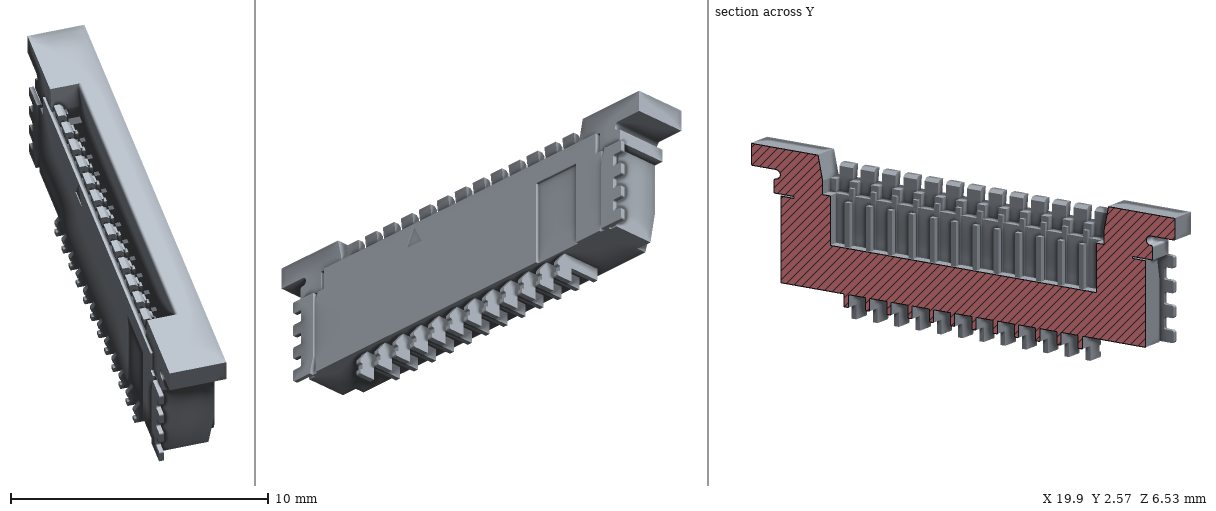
import cadquery as cq

flange_width = 19.92
height = 6.53
depth = 2.57
pin_count = 12
block_row = 12.0
pitch = block_row / pin_count

flange_bottom = 5.64
cover_top = 5.52
slider_bottom = 4.68
wing_top = 4.62
body_bottom = 1.12

cover_front = 0.08
slider_front = 0.18
slider_back = 2.47

slider_half = 8.9
neck_radius = 0.18
neck_half = 8.78
lip_radius = 0.11

shell_half = 7.97
core_half = 8.25
shoulder_left = 7.49
shoulder_right = 7.63
shoulder_recess_half = 7.77
shoulder_recess_depth = 0.4
rear_shoulder_bottom = 3.49
corner_run = 0.12
corner_rise = 0.35

side_half = 8.57
side_front = 0.32
side_back = 2.4
side_top_bevel_run = 0.18
side_top_bevel_rise = 0.95
side_bottom_bevel_run = 0.24
side_bottom_bevel_rise = 1.37

wing_outer = 9.15
wing_thickness = 0.18
wing_inner = 8.03
wing_flare = 0.18
wing_flare_height = 0.7
tooth_count = 4
tooth_length = 0.45
tooth_radius = 0.08

mouth_half = 6.81
mouth_floor_half = 6.6
mouth_back = 1.31
mouth_round = 0.12
ledge_floor = 4.98
ledge_front = 0.78
ledge_back = 0.88
cable_slot_half = 6.23
cable_slot_floor = 2.99

block_width = 0.64
block_top = 6.12
block_back = 0.54
block_back_bevel = 0.12
block_undercut = 0.08

pin_width = 0.22
pin_arm_bottom = 0.6
pin_back = 2.15
pin_foot_back = 0.74
pin_embed = 0.2
pin_front = 0.38
toe_top = 0.64
toe_radius = 0.05
groove_depth = 0.12
groove_top = 0.48
groove_bottom = 0.22
upper_beam = (1.02, 1.22)
lower_beam = (0.75, 0.92)
upper_beam_top = 4.78
lower_beam_top = 5.28

window_left = 4.32
window_right = 6.55
window_depth = 0.12
triangle_center = -2.49
triangle_half = 0.42
triangle_top = 5.42
triangle_bottom = 4.6
triangle_depth = 0.04


def box(x0, x1, y0, y1, z0, z1):
    """Box between two opposite corners."""
    return cq.Workplane("XY").box(x1 - x0, y1 - y0, z1 - z0, centered=False).translate((x0, y0, z0))


def front_prism(points, y0, y1):
    """Outline in X and Z, swept from y0 back to y1."""
    return cq.Workplane("XZ", origin=(0, y0, 0)).polyline(points).close().extrude(y0 - y1)


def side_prism(points, x0, x1):
    """Outline in Y and Z, swept from x0 to x1."""
    return cq.Workplane("YZ", origin=(x0, 0, 0)).polyline(points).close().extrude(x1 - x0)


def make_slider():
    half = flange_width / 2
    flange = box(-half, half, slider_front, slider_back, flange_bottom, height)
    skirt = box(-slider_half, slider_half, slider_front, slider_back, slider_bottom, flange_bottom)
    neck_z = flange_bottom - neck_radius
    for side in (-1, 1):
        notch = (
            cq.Workplane("XZ", origin=(0, slider_front, 0))
            .center(side * neck_half, neck_z)
            .circle(neck_radius)
            .extrude(slider_front - slider_back)
        )
        x_inner, x_outer = sorted((side * neck_half, side * half))
        opening = box(x_inner, x_outer, slider_front, slider_back, neck_z - neck_radius, flange_bottom)
        skirt = skirt.cut(notch).cut(opening)
    lip_z = neck_z - neck_radius
    lips = cq.selectors.BoxSelector(
        (-half, 0, lip_z - lip_radius), (half, depth, lip_z + lip_radius)
    )
    skirt = skirt.edges("|Y").edges(lips).edges("<X or >X").fillet(lip_radius)
    return flange.union(skirt)


def make_front_cover():
    """Plate with a shoulder on each side, bevelled at its upper left and lower right corners."""
    return front_prism(
        [
            (-shoulder_left, cover_top),
            (shoulder_right, cover_top),
            (shoulder_right, wing_top),
            (shell_half, wing_top),
            (shell_half, body_bottom + corner_rise),
            (shell_half - corner_run, body_bottom),
            (-shell_half, body_bottom),
            (-shell_half, wing_top - corner_rise),
            (-shell_half + corner_run, wing_top),
            (-shoulder_left, wing_top),
        ],
        cover_front,
        slider_front,
    )


def make_shell():
    """Housing block behind the cover, bevelled along both lower corners."""
    block = front_prism(
        [
            (-shell_half, cover_top),
            (shell_half, cover_top),
            (shell_half, body_bottom + corner_rise),
            (shell_half - corner_run, body_bottom),
            (-shell_half + corner_run, body_bottom),
            (-shell_half, body_bottom + corner_rise),
        ],
        slider_front,
        depth,
    )
    for side in (-1, 1):
        x_inner, x_outer = sorted((side * shoulder_left, side * shell_half))
        block = block.cut(box(x_inner, x_outer, slider_back, depth, rear_shoulder_bottom, cover_top))
    return block


def make_side_blocks():
    return side_prism(
        [
            (side_front + side_top_bevel_run, wing_top),
            (side_back, wing_top),
            (side_back, body_bottom + side_bottom_bevel_rise),
            (side_back - side_bottom_bevel_run, body_bottom),
            (side_front, body_bottom),
            (side_front, wing_top - side_top_bevel_rise),
        ],
        -side_half,
        side_half,
    )


def make_wing(side, inner_points):
    """Thin plate with rounded teeth along its outer edge."""
    tooth_height = (wing_top - body_bottom) / (2 * tooth_count - 1)
    root = wing_outer - tooth_length
    wing = front_prism(
        [(side * wing_outer, body_bottom), (side * wing_outer, wing_top)] + inner_points,
        0,
        wing_thickness,
    )
    for i in range(tooth_count - 1):
        gap_bottom = body_bottom + (2 * i + 1) * tooth_height
        x_inner, x_outer = sorted((side * root, side * (wing_outer + tooth_length)))
        gap = box(x_inner, x_outer, 0, wing_thickness, gap_bottom, gap_bottom + tooth_height)
        wing = wing.cut(gap.edges("|Y").fillet(tooth_radius))
    tips = wing.edges("|Y").edges(">X" if side > 0 else "<X")
    return tips.fillet(tooth_radius)


def make_left_wing():
    return make_wing(
        -1,
        [
            (-wing_inner, wing_top),
            (-wing_inner, body_bottom + wing_flare_height),
            (-wing_inner - wing_flare, body_bottom),
        ],
    )


def make_right_wing():
    return make_wing(
        1,
        [
            (wing_inner + wing_flare, wing_top),
            (wing_inner, wing_top - wing_flare_height),
            (wing_inner, body_bottom),
        ],
    )


def make_mouth():
    """Cable opening: tapered mouth with a rounded rear lip, a ledge and a deep slot."""
    taper_outline = [
        (-mouth_half, height),
        (mouth_half, height),
        (mouth_floor_half, cover_top),
        (-mouth_floor_half, cover_top),
    ]
    mouth = front_prism(taper_outline, 0, mouth_back)
    flare_back = mouth_back + mouth_round
    flare_bottom = height - mouth_round
    flare = box(-mouth_half, mouth_half, mouth_back, flare_back, flare_bottom, height)
    lip = (
        cq.Workplane("YZ", origin=(-mouth_half, 0, 0))
        .center(flare_back, flare_bottom)
        .circle(mouth_round)
        .extrude(2 * mouth_half)
    )
    ledge = box(-mouth_floor_half, mouth_floor_half, ledge_front, mouth_back, ledge_floor, cover_top)
    slot = box(-cable_slot_half, cable_slot_half, ledge_back, mouth_back, cable_slot_floor, cover_top)
    return mouth.union(flare.cut(lip)).union(ledge).union(slot)


def make_block(x):
    return side_prism(
        [
            (slider_front + block_undercut, cover_top),
            (slider_front + block_undercut, ledge_floor),
            (block_back, ledge_floor),
            (block_back, block_top - block_back_bevel),
            (block_back - block_back_bevel, block_top),
            (slider_front, block_top),
        ],
        x - block_width / 2,
        x + block_width / 2,
    )


def make_block_pocket(x):
    """Open space between a guide block and the ledge behind it."""
    return box(x - block_width / 2, x + block_width / 2, block_back, ledge_front, ledge_floor, cover_top)


def make_contact(x):
    """Solder tail with a grooved toe, plus two contact beams inside the cable slot."""
    left = x - pin_width / 2
    right = x + pin_width / 2
    tail = side_prism(
        [
            (pin_back, body_bottom + pin_embed),
            (pin_back, pin_arm_bottom),
            (pin_foot_back, pin_arm_bottom),
            (pin_foot_back, 0),
            (0, 0),
            (0, groove_bottom),
            (groove_depth, groove_bottom),
            (groove_depth, groove_top),
            (0, groove_top),
            (0, toe_top),
            (pin_front, body_bottom),
            (pin_front, body_bottom + pin_embed),
        ],
        left,
        right,
    )
    toe = cq.selectors.BoxSelector(
        (left, -toe_radius, -toe_radius), (right, slider_front, body_bottom)
    )
    tail = tail.edges("|X").edges(toe).fillet(toe_radius)
    upper = box(left, right, *upper_beam, cable_slot_floor - pin_embed, upper_beam_top)
    lower = box(left, right, *lower_beam, cable_slot_floor - pin_embed, lower_beam_top)
    return tail.union(upper).union(lower)


def make_marks():
    """Shallow window and pin-one triangle on the front cover."""
    window_back = cover_front + window_depth
    window = box(window_left, window_right, cover_front, window_back, body_bottom, wing_top)
    triangle = front_prism(
        [
            (triangle_center, triangle_top),
            (triangle_center + triangle_half, triangle_bottom),
            (triangle_center - triangle_half, triangle_bottom),
        ],
        cover_front,
        cover_front + triangle_depth,
    )
    return window.union(triangle)


def make_shoulder_recesses():
    """Gaps beside the cover shoulders, sunk into the slider face."""
    recess_back = slider_front + shoulder_recess_depth
    left = box(-shoulder_recess_half, -shoulder_left, slider_front, recess_back, wing_top, cover_top)
    right = box(shoulder_right, shoulder_recess_half, slider_front, recess_back, wing_top, cover_top)
    return left.union(right)


core_back = side_back - side_bottom_bevel_run
body = make_slider()
body = body.union(make_shell())
body = body.union(box(-core_half, core_half, slider_front, core_back, body_bottom, wing_top))
body = body.union(make_side_blocks())
body = body.union(make_front_cover())
body = body.union(make_left_wing()).union(make_right_wing())
body = body.cut(make_mouth()).cut(make_shoulder_recesses()).cut(make_marks())

for i in range(pin_count + 1):
    block_x = (i - pin_count / 2) * pitch
    body = body.cut(make_block_pocket(block_x)).union(make_block(block_x))

for i in range(pin_count):
    contact_x = (i - (pin_count - 1) / 2) * pitch
    body = body.union(make_contact(contact_x))

result = body